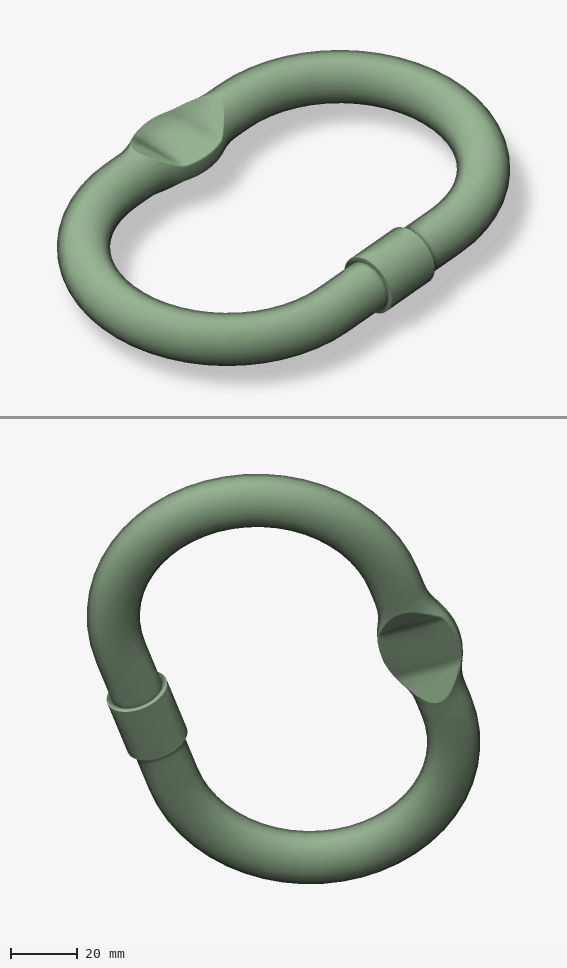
import cadquery as cq
import math

length = 151.8
wire_diameter = 16.0
link_width = 102.0

sleeve_diameter = 19.1
sleeve_length = 19.1

swell_radius = 12.3
swell_half_length = 19.0
swell_blend_y = 10.25
tag_thickness = 5.9
tag_corner_y = 8.4
ramp_end_y = 17.3
ramp_fillet_radius = 4.7
tag_rim_radius = 0.5

wire_radius = wire_diameter / 2
bend_radius = (link_width - wire_diameter) / 2
limb_x = bend_radius
straight_half = (length - link_width) / 2


def make_ring():
    """Round wire swept along a stadium: two straight limbs and two half-circle bends."""
    path = (
        cq.Workplane("XY")
        .moveTo(limb_x, 0)
        .lineTo(limb_x, straight_half)
        .threePointArc((0, straight_half + bend_radius), (-limb_x, straight_half))
        .lineTo(-limb_x, -straight_half)
        .threePointArc((0, -straight_half - bend_radius), (limb_x, -straight_half))
        .close()
    )
    return cq.Workplane("XZ", origin=(limb_x, 0, 0)).circle(wire_radius).sweep(path)


def make_sleeve():
    """Plain cylinder around the middle of the +X limb."""
    return (
        cq.Workplane("XZ", origin=(limb_x, 0, 0))
        .circle(sleeve_diameter / 2)
        .extrude(sleeve_length / 2, both=True)
    )


def make_swell():
    """Barrel turned about the -X limb: a convex belly flowing into a concave neck at each end."""
    rise = swell_radius - wire_radius
    blend_radius = swell_radius - rise * swell_blend_y / swell_half_length
    belly_arc_radius = swell_blend_y * (swell_half_length**2 + rise**2) / (2 * rise * swell_half_length)
    neck_length = swell_half_length - swell_blend_y
    neck_arc_radius = belly_arc_radius * neck_length / swell_blend_y
    neck_mid_y = swell_half_length - neck_length / 2
    neck_mid_radius = wire_radius + neck_arc_radius - math.sqrt(neck_arc_radius**2 - (neck_length / 2) ** 2)
    profile = (
        cq.Workplane("XY", origin=(-limb_x, 0, 0))
        .moveTo(0, -swell_half_length)
        .lineTo(wire_radius, -swell_half_length)
        .threePointArc((neck_mid_radius, -neck_mid_y), (blend_radius, -swell_blend_y))
        .threePointArc((swell_radius, 0), (blend_radius, swell_blend_y))
        .threePointArc((neck_mid_radius, neck_mid_y), (wire_radius, swell_half_length))
        .lineTo(0, swell_half_length)
        .close()
    )
    return profile.revolve(360, (0, 0, 0), (0, 1, 0))


def make_top_flat_cutter():
    """Prism above the tag: a flat floor with a ramp rising from each end through a fillet."""
    floor_z = tag_thickness / 2
    ramp_slope = (wire_radius - floor_z) / (ramp_end_y - tag_corner_y)
    cutter_top_z = 2 * swell_radius
    cutter_top_y = tag_corner_y + (cutter_top_z - floor_z) / ramp_slope
    return (
        cq.Workplane("YZ", origin=(-limb_x, 0, 0))
        .moveTo(-tag_corner_y, floor_z)
        .lineTo(tag_corner_y, floor_z)
        .lineTo(cutter_top_y, cutter_top_z)
        .lineTo(-cutter_top_y, cutter_top_z)
        .close()
        .extrude(2 * swell_radius, both=True)
        .edges("<Z and |X")
        .fillet(ramp_fillet_radius)
    )


top_flat = make_top_flat_cutter()
bottom_flat = top_flat.mirror("XY")
link = make_ring().union(make_swell()).union(make_sleeve())
link = link.cut(top_flat).cut(bottom_flat)

result = link.edges("%BSPLINE").fillet(tag_rim_radius)